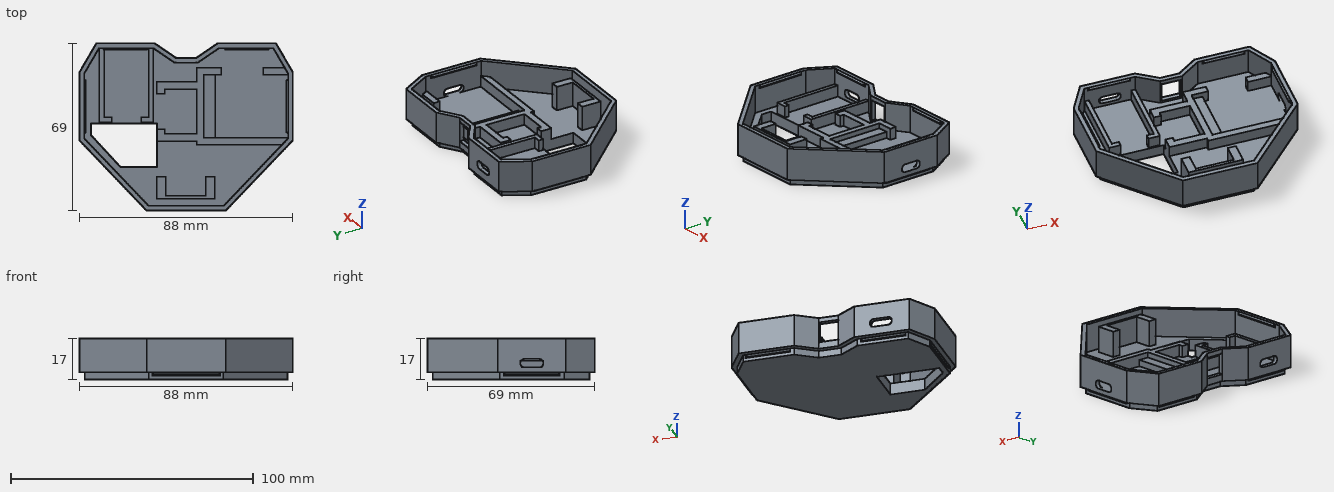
import cadquery as cq

length_x = 88.0
width_y = 69.0
height = 17.0
half_x = length_x / 2
back_y = width_y / 2
front_y = -width_y / 2

lobe_outer_x = 37.0
lobe_inner_x = 13.0
notch_half_x = 4.2
notch_depth = 6.0
shoulder_drop = 12.0
flank_drop = 40.0
front_half_x = 16.3

wall = 2.0
plug_height = 3.0
plug_clearance = 0.2
floor_top = 5.0
rib_height = 5.0

snap_depth = 0.75
snap_height = 2 * snap_depth
snap_tip_height = 0.02
snap_end_taper = 0.5
ridge_center_z = height - snap_depth
groove_center_z = plug_height - snap_depth
ridge_lobe_length = 18.5
ridge_side_length = 22.2
groove_front_length = 28.0
groove_side_length = 23.2
groove_lobe_length = 19.5

lobe_center_x = (lobe_outer_x + lobe_inner_x) / 2
side_center_y = back_y - (shoulder_drop + flank_drop) / 2

cradle_center_x = -24.6
cradle_width = 22.2
cradle_wall = 1.9
cradle_front_y = 2.0
cradle_hook_length = 3.1
cradle_hook_depth = 2.1

middle_left_x = -12.1
middle_back_y = 18.6
middle_front_y = -5.85
middle_wall = 3.1
middle_hook_x = 3.2
middle_hook_y = 1.9
divider_left_x = 4.3
divider_right_x = 7.15
frame_back_y = 24.4
frame_front_y = -7.4
frame_wall = 2.95
back_stop_right_x = 14.4
corner_stop_left_x = 31.75
ledge_width = 4.75
ledge_height = 2.75

u_left_x = middle_left_x
u_right_x = 11.7
u_leg = 3.6
u_rise = 11.0
u_back_y = -20.6
u_front_y = -29.5
u_front_wall = 1.25

opening_left_x = -39.1
opening_right_x = middle_left_x
opening_back_y = 1.4
opening_front_y = -16.4
opening_corner_x = 12.0
opening_corner_y = 13.0

window_bottom_z = 6.0
window_top_z = 15.0
slot_length = 9.5
slot_height = 3.5
left_slot_z = floor_top + 3.3
right_slot_z = floor_top + slot_height / 2


def outline(z):
    """Closed outer outline at height z."""
    right_half = [
        (notch_half_x, back_y - notch_depth),
        (lobe_inner_x, back_y),
        (lobe_outer_x, back_y),
        (half_x, back_y - shoulder_drop),
        (half_x, back_y - flank_drop),
        (front_half_x, front_y),
    ]
    left_half = [(-x, y) for x, y in reversed(right_half)]
    return cq.Workplane("XY", origin=(0, 0, z)).polyline(right_half + left_half).close()


def inset_prism(inset, z_bottom, z_top):
    """Prism of the outline moved inward by inset."""
    return outline(z_bottom).offset2D(-inset, "intersection").extrude(z_top - z_bottom)


def block(x0, x1, y0, y1, z0, z1):
    """Box between two opposite corners."""
    return cq.Workplane("XY").box(x1 - x0, y1 - y0, z1 - z0, centered=False).translate((x0, y0, z0))


def rib(x0, x1, y0, y1, rise=rib_height):
    """Box that stands on the floor."""
    return block(x0, x1, y0, y1, floor_top, floor_top + rise)


def snap_bar(span, center, turn):
    """V bar with tapered ends; its base faces +Y and its tip -Y before it is turned about Z."""
    tip_span = span - 2 * snap_end_taper
    bar = (
        cq.Workplane("XZ")
        .rect(span, snap_height)
        .workplane(offset=snap_depth)
        .rect(tip_span, snap_tip_height)
        .loft(ruled=True)
    )
    return bar.rotate((0, 0, 0), (0, 0, 1), turn).translate(center)


def add_ridges(body):
    """Ridges inside both lobe walls and both side walls."""
    for side in (-1, 1):
        lobe_point = (side * lobe_center_x, back_y - wall, ridge_center_z)
        side_point = (side * (half_x - wall), side_center_y, ridge_center_z)
        body = body.union(snap_bar(ridge_lobe_length, lobe_point, 0))
        body = body.union(snap_bar(ridge_side_length, side_point, -90 * side))
    return body


def cut_grooves(body):
    """Grooves around the plug, cut inward from its faces."""
    inset = wall + plug_clearance
    body = body.cut(snap_bar(groove_front_length, (0, front_y + inset, groove_center_z), 180))
    for side in (-1, 1):
        lobe_point = (side * lobe_center_x, back_y - inset, groove_center_z)
        side_point = (side * (half_x - inset), side_center_y, groove_center_z)
        body = body.cut(snap_bar(groove_lobe_length, lobe_point, 0))
        body = body.cut(snap_bar(groove_side_length, side_point, -90 * side))
    return body


def left_cradle():
    """Two rails from the left lobe wall with hooks turned inward at their front ends."""
    rails = cq.Workplane("XY")
    hook_back_y = cradle_front_y + cradle_hook_depth
    for side in (-1, 1):
        outer_x = cradle_center_x + side * cradle_width / 2
        inner_x = outer_x - side * cradle_wall
        tip_x = inner_x - side * cradle_hook_length
        rails = rails.union(rib(min(outer_x, inner_x), max(outer_x, inner_x), cradle_front_y, back_y))
        rails = rails.union(rib(min(outer_x, tip_x), max(outer_x, tip_x), cradle_front_y, hook_back_y))
    return rails


def middle_cradle():
    """Two arms left of the divider, each with a hook turned inward at its left end."""
    back_arm_y = middle_back_y - middle_wall
    front_arm_y = middle_front_y + middle_wall
    hook_right_x = middle_left_x + middle_hook_x
    arms = rib(middle_left_x, divider_left_x, back_arm_y, middle_back_y)
    arms = arms.union(rib(middle_left_x, divider_left_x, middle_front_y, front_arm_y))
    arms = arms.union(rib(middle_left_x, hook_right_x, back_arm_y - middle_hook_y, middle_back_y))
    return arms.union(rib(middle_left_x, hook_right_x, middle_front_y, front_arm_y + middle_hook_y))


def right_frame():
    """Divider, front wall, two back stops and a low ledge around the right lobe."""
    stop_front_y = frame_back_y - frame_wall
    wall_back_y = frame_front_y + frame_wall
    frame = rib(divider_left_x, divider_right_x, frame_front_y, frame_back_y)
    frame = frame.union(rib(divider_left_x, half_x, frame_front_y, wall_back_y))
    frame = frame.union(rib(divider_left_x, back_stop_right_x, stop_front_y, frame_back_y))
    frame = frame.union(rib(corner_stop_left_x, half_x, stop_front_y, frame_back_y))
    ledge_right_x = divider_right_x + ledge_width
    return frame.union(rib(divider_right_x, ledge_right_x, wall_back_y, stop_front_y, ledge_height))


def front_cradle():
    """U-shaped rib that opens toward the back."""
    cradle = rib(u_left_x, u_right_x, u_front_y, u_back_y, u_rise)
    return cradle.cut(rib(u_left_x + u_leg, u_right_x - u_leg, u_front_y + u_front_wall, u_back_y, u_rise))


def floor_opening():
    """Opening through the floor with one slanted corner."""
    points = [
        (opening_left_x, opening_back_y),
        (opening_right_x, opening_back_y),
        (opening_right_x, opening_front_y),
        (opening_left_x + opening_corner_x, opening_front_y),
        (opening_left_x, opening_front_y + opening_corner_y),
    ]
    return cq.Workplane("XY").polyline(points).close().extrude(floor_top)


def wall_openings():
    """Window in the notch wall, slot in the left lobe wall and slot in the right side wall."""
    notch_y = back_y - notch_depth
    cuts = block(-notch_half_x, notch_half_x, notch_y - wall, notch_y, window_bottom_z, window_top_z)
    left_slot = (
        cq.Workplane("XZ", origin=(cradle_center_x, back_y, left_slot_z))
        .slot2D(slot_length, slot_height)
        .extrude(wall)
    )
    right_slot_y = (frame_back_y + frame_front_y) / 2
    right_slot = (
        cq.Workplane("YZ", origin=(half_x - wall, right_slot_y, right_slot_z))
        .slot2D(slot_length, slot_height)
        .extrude(wall)
    )
    return cuts.union(left_slot).union(right_slot)


shell = outline(plug_height).extrude(height - plug_height)
plug = inset_prism(wall + plug_clearance, 0, plug_height)
cavity = inset_prism(wall, floor_top, height)

ribs = left_cradle().union(middle_cradle()).union(right_frame()).union(front_cradle())

result = shell.union(plug).cut(cavity).union(ribs.intersect(cavity))
result = add_ridges(result)
result = cut_grooves(result)
result = result.cut(floor_opening()).cut(wall_openings())